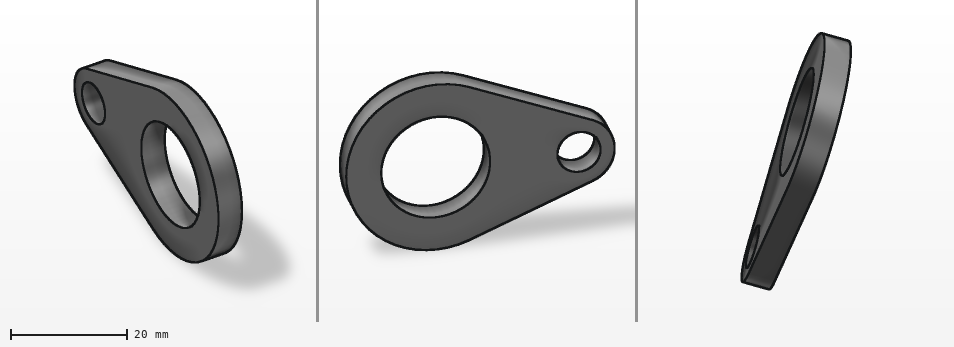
import cadquery as cq
import math

length = 47.6
height = 31.75
thickness = 4.75
small_end_radius = 6.35
large_hole_diameter = 19.3
small_hole_diameter = 7.6

large_end_radius = height / 2
center_distance = length - large_end_radius - small_end_radius
small_end_x = -center_distance

tangent_cos = (large_end_radius - small_end_radius) / center_distance
tangent_sin = math.sqrt(1 - tangent_cos**2)


def tangent_point(center_x, radius, side):
    """Point where a straight flank meets an end arc; side is +1 (top) or -1 (bottom)."""
    return (center_x - radius * tangent_cos, side * radius * tangent_sin)


def through_hole(center_x, diameter):
    """Cylinder along Y that spans the plate thickness."""
    return (
        cq.Workplane("XZ")
        .center(center_x, 0)
        .circle(diameter / 2)
        .extrude(thickness / 2, both=True)
    )


plate = (
    cq.Workplane("XZ")
    .moveTo(*tangent_point(small_end_x, small_end_radius, 1))
    .lineTo(*tangent_point(0, large_end_radius, 1))
    .threePointArc((large_end_radius, 0), tangent_point(0, large_end_radius, -1))
    .lineTo(*tangent_point(small_end_x, small_end_radius, -1))
    .threePointArc(
        (small_end_x - small_end_radius, 0),
        tangent_point(small_end_x, small_end_radius, 1),
    )
    .close()
    .extrude(thickness / 2, both=True)
)

result = plate.cut(through_hole(0, large_hole_diameter))
result = result.cut(through_hole(small_end_x, small_hole_diameter))